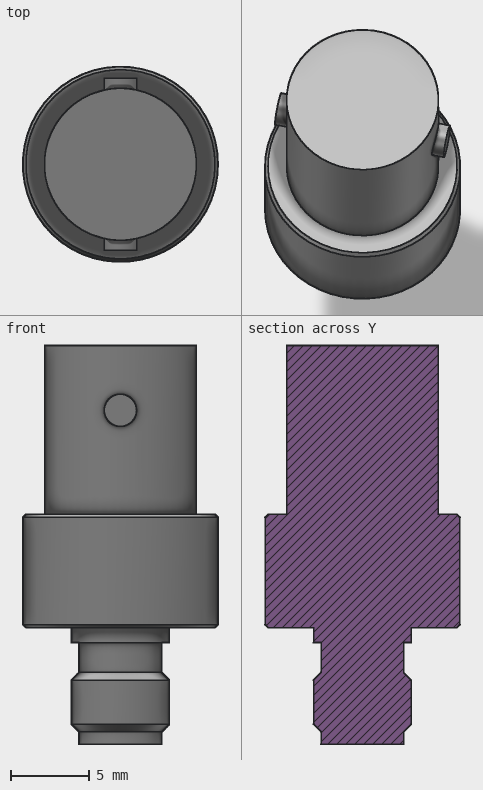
import cadquery as cq

total_height = 25.5
body_diameter = 12.5
barrel_diameter = 9.72
collar_diameter = 6.27
neck_diameter = 5.3

tip_top = 0.8
ring_top = 4.6
flange_bottom = 6.5
body_bottom = 7.45
body_top = 14.71
body_chamfer = 0.2

pin_diameter = 2.07
pin_span = 11.02
pin_height = 21.35


def cylinder(diameter, bottom, top):
    """Vertical cylinder on the Z axis between two heights."""
    return cq.Workplane("XY").workplane(offset=bottom).circle(diameter / 2).extrude(top - bottom)


ring_chamfer = (collar_diameter - neck_diameter) / 2
neck = cylinder(neck_diameter, 0, body_bottom)
ring = cylinder(collar_diameter, tip_top, ring_top).edges().chamfer(ring_chamfer)
flange = cylinder(collar_diameter, flange_bottom, body_bottom)

body = cylinder(body_diameter, body_bottom, body_top).faces("<Z or >Z").edges().chamfer(body_chamfer)
barrel = cylinder(barrel_diameter, body_top, total_height)

pins = (
    cq.Workplane("XZ", origin=(0, 0, pin_height))
    .circle(pin_diameter / 2)
    .extrude(pin_span / 2, both=True)
)

result = neck.union(ring).union(flange).union(body).union(barrel).union(pins)